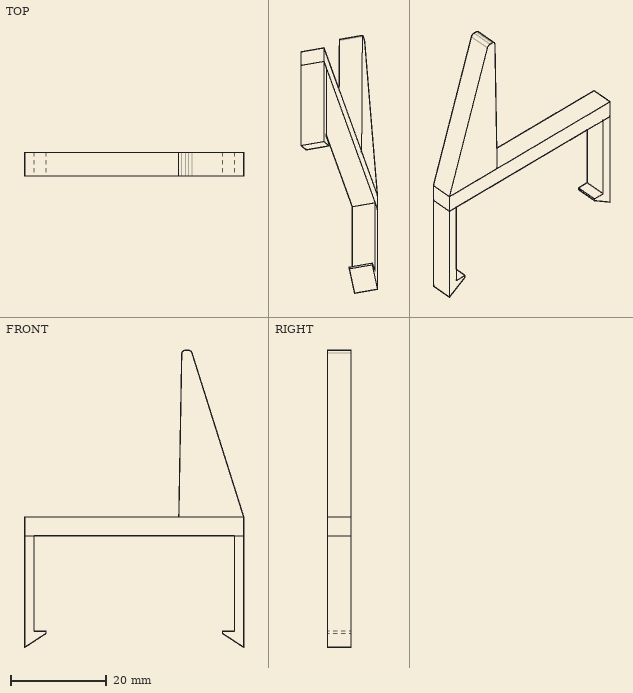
import cadquery as cq

total_height = 62.4
bar_length = 46.0
depth = 5.0
bar_thickness = 4.0

leg_height = 23.4
leg_thickness = 2.0
hook_reach = 4.5
hook_top = 3.45
hook_tip_height = 0.5

fin_base_left = 32.35
fin_top_left = 32.95
fin_top_right = 34.95
fin_tip_radius = 0.8

bar_top = leg_height + bar_thickness


def extrude_outline(points):
    """Extrude a closed XZ outline along Y, centred on Y = 0."""
    return cq.Workplane("XZ").polyline(points).close().extrude(depth / 2, both=True)


def make_bar():
    return extrude_outline([
        (0, leg_height),
        (bar_length, leg_height),
        (bar_length, bar_top),
        (0, bar_top),
    ])


def make_leg(outer_x, inward):
    """Leg at outer_x; inward is +1 or -1, the X direction of its hook."""
    inner_x = outer_x + inward * leg_thickness
    tip_x = outer_x + inward * hook_reach
    return extrude_outline([
        (outer_x, 0),
        (tip_x, hook_top - hook_tip_height),
        (tip_x, hook_top),
        (inner_x, hook_top),
        (inner_x, leg_height),
        (outer_x, leg_height),
    ])


def make_fin():
    fin = extrude_outline([
        (fin_base_left, bar_top),
        (bar_length, bar_top),
        (fin_top_right, total_height),
        (fin_top_left, total_height),
    ])
    return fin.faces(">Z").edges("|Y").fillet(fin_tip_radius)


bar = make_bar()
fin = make_fin()
legs = [make_leg(outer_x, inward) for outer_x, inward in ((0, 1), (bar_length, -1))]

result = cq.Compound.makeCompound([bar.val(), fin.val(), *[leg.val() for leg in legs]])